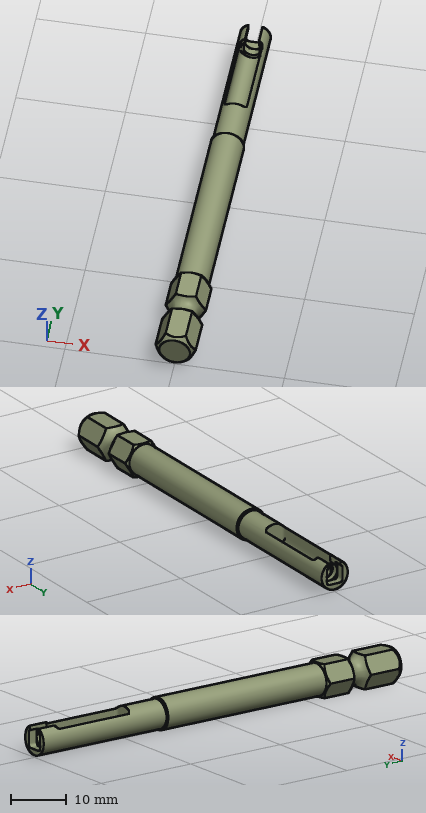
import cadquery as cq
import math

length = 80.0

hex_corners = 7.4
hex_radius = hex_corners / 2
hex_length = 17.0
drive_face_radius = 2.8
drive_chamfer_length = 1.2
shoulder_chamfer = 0.5

groove_center = 9.3
groove_floor_radius = 2.3
groove_arc_radius = 1.9

shank_radius = 3.0
tube_radius = 2.8
tube_length = 27.7
step_chamfer = shank_radius - tube_radius
tube_start = length - tube_length

socket_width = 3.4
socket_corner_radius = 0.6
socket_depth = 1.8
neck_radius = 1.7
neck_end = 3.3
slot_width = 2.6

pocket_width = 4.1
pocket_start = 3.6
pocket_end = 20.0
pocket_corner_radius = 0.6


def revolve_about_y(profile):
    """Turn a closed (radius, y) profile about the Y axis."""
    return profile.close().revolve(360, (0, 0, 0), (0, 1, 0))


def make_drive():
    arc_center_radius = groove_floor_radius + groove_arc_radius
    half_opening = math.sqrt(groove_arc_radius**2 - (arc_center_radius - hex_radius) ** 2)
    envelope = revolve_about_y(
        cq.Workplane("XY")
        .lineTo(drive_face_radius, 0)
        .lineTo(hex_radius, drive_chamfer_length)
        .lineTo(hex_radius, groove_center - half_opening)
        .threePointArc(
            (groove_floor_radius, groove_center),
            (hex_radius, groove_center + half_opening),
        )
        .lineTo(hex_radius, hex_length - shoulder_chamfer)
        .lineTo(shank_radius, hex_length)
        .lineTo(0, hex_length)
    )
    hexagon = cq.Workplane("XZ").polygon(6, hex_corners).extrude(-hex_length)
    return hexagon.intersect(envelope)


def make_shank_and_tube():
    return revolve_about_y(
        cq.Workplane("XY")
        .moveTo(0, hex_length)
        .lineTo(shank_radius, hex_length)
        .lineTo(shank_radius, tube_start)
        .lineTo(tube_radius, tube_start + step_chamfer)
        .lineTo(tube_radius, length)
        .lineTo(0, length)
    )


def make_socket():
    return (
        cq.Workplane("XZ", origin=(0, length, 0))
        .rect(socket_width, socket_width)
        .extrude(socket_depth)
        .edges("|Y")
        .fillet(socket_corner_radius)
    )


def make_neck():
    return revolve_about_y(
        cq.Workplane("XY")
        .moveTo(0, length - pocket_start)
        .lineTo(pocket_width / 2, length - pocket_start)
        .lineTo(neck_radius, length - neck_end)
        .lineTo(neck_radius, length - socket_depth)
        .lineTo(0, length - socket_depth)
    )


def make_tip_slot():
    return (
        cq.Workplane("XY", origin=(0, length - pocket_start / 2, 0))
        .rect(slot_width, pocket_start)
        .extrude(tube_radius)
    )


def make_pocket():
    half_width = pocket_width / 2
    pocket_length = pocket_end - pocket_start
    channel = (
        cq.Workplane("XZ", origin=(0, length - pocket_end, 0))
        .moveTo(-half_width, tube_radius)
        .lineTo(-half_width, 0)
        .threePointArc((0, -half_width), (half_width, 0))
        .lineTo(half_width, tube_radius)
        .close()
        .extrude(-pocket_length)
    )
    plan = (
        cq.Workplane("XY", origin=(0, length - (pocket_end + pocket_start) / 2, 0))
        .rect(pocket_width, pocket_length)
        .extrude(tube_radius, both=True)
        .edges("|Z")
        .fillet(pocket_corner_radius)
    )
    return channel.intersect(plan)


result = (
    make_drive()
    .union(make_shank_and_tube())
    .cut(make_socket())
    .cut(make_neck())
    .cut(make_tip_slot())
    .cut(make_pocket())
)